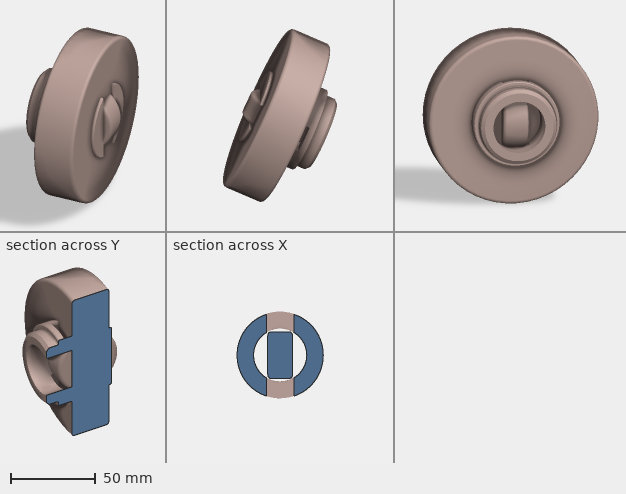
import cadquery as cq

shoulder_x = 8.0
slot_start_x = 12.0
disc_start_x = 17.25
disc_width = 25.0
disc_end_x = disc_start_x + disc_width
rear_hub_end_x = 44.0
overall_length = 49.0

hub_diameter = 45.0
collar_diameter = 51.0
disc_diameter = 101.2
bore_diameter = 31.0
hub_chamfer = 2.0
rear_hub_chamfer = 0.5
collar_chamfer = 0.5
shoulder_bevel = 0.5
disc_edge_radius = 2.0

roller_radius = 20.0
roller_center_x = overall_length - roller_radius
roller_width = 15.0
roller_edge_radius = 2.0
slot_width = 16.0


def x_cylinder(diameter, start_x, end_x):
    """Cylinder about the X axis between two positions."""
    return cq.Workplane("YZ").workplane(offset=start_x).circle(diameter / 2).extrude(end_x - start_x)


def make_front_hub():
    hub = x_cylinder(hub_diameter, 0, disc_start_x)
    return hub.faces("<X").chamfer(hub_chamfer)


def make_collar():
    collar = x_cylinder(collar_diameter, shoulder_x, disc_start_x)
    return collar.faces("<X").chamfer(collar_chamfer)


def make_disc():
    disc = x_cylinder(disc_diameter, disc_start_x, disc_end_x)
    return disc.faces("<X or >X").edges().fillet(disc_edge_radius)


def make_rear_hub():
    hub = x_cylinder(hub_diameter, disc_end_x, rear_hub_end_x)
    return hub.faces(">X").chamfer(rear_hub_chamfer)


def make_shoulder_bevel():
    """Cone filling the inside corner between the front hub and the collar."""
    hub_radius = hub_diameter / 2
    section = [
        (shoulder_x - shoulder_bevel, 0),
        (shoulder_x - shoulder_bevel, hub_radius),
        (shoulder_x, hub_radius + shoulder_bevel),
        (shoulder_x, 0),
    ]
    return cq.Workplane("XY").polyline(section).close().revolve(360, (0, 0, 0), (1, 0, 0))


def slot_cutter(start_x, end_x):
    """Block that cuts a slot across the full hub, parallel to Z."""
    length = end_x - start_x
    block = cq.Workplane("XY").box(length, slot_width, collar_diameter, centered=(False, True, True))
    return block.translate((start_x, 0, 0))


def make_roller():
    roller = cq.Workplane("XZ").circle(roller_radius).extrude(roller_width / 2, both=True)
    roller = roller.faces("<Y or >Y").edges().fillet(roller_edge_radius)
    return roller.translate((roller_center_x, 0, 0))


body = make_front_hub().union(make_shoulder_bevel()).union(make_collar())
body = body.union(make_disc()).union(make_rear_hub())
body = body.cut(x_cylinder(bore_diameter, 0, disc_start_x))
body = body.cut(slot_cutter(slot_start_x, disc_start_x))
body = body.cut(slot_cutter(disc_end_x, rear_hub_end_x))

result = body.union(make_roller())